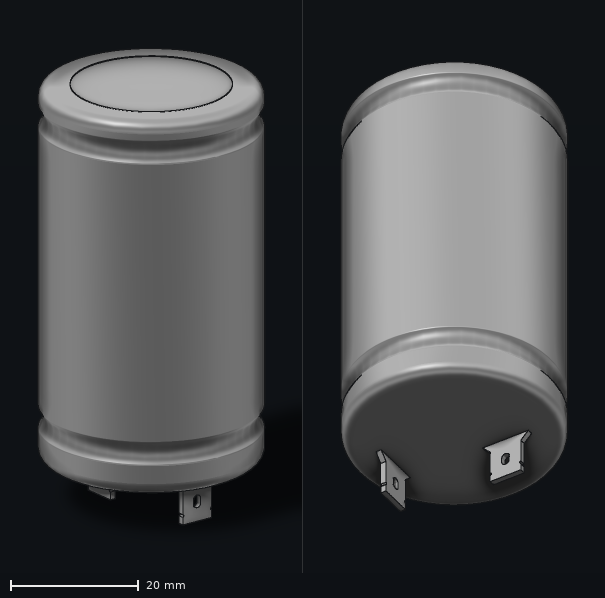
import cadquery as cq

can_diameter = 35.5
can_radius = can_diameter / 2
total_height = 69.45
terminal_drop = 7.2
can_height = total_height - terminal_drop
end_rounding = 2.0

groove_half_height = 1.9
groove_depth = 0.7
groove_lip_radius = 0.4
lower_groove_height = 7.0
upper_groove_drop = 5.1
groove_heights = (lower_groove_height, can_height - upper_groove_drop)

recess_radius = 12.7
recess_depth = 0.15

terminal_width = 5.7
terminal_thickness = 1.0
shoulder_width = 8.5
shoulder_height = 1.4
slot_width = 1.4
slot_length = 2.1
slot_drop = 3.9
notch_drop = 5.7
notch_radius = 0.2

terminal_places = (
    (-7.0, -4.4, 0),
    (11.3, 0, 90),
)


def make_groove_cutter(mid_height):
    """Ring whose round section meets the can wall at the groove height and depth."""
    section_radius = (groove_half_height**2 + groove_depth**2) / (2 * groove_depth)
    ring_radius = can_radius - groove_depth + section_radius
    return cq.Workplane(cq.Solid.makeTorus(ring_radius, section_radius, cq.Vector(0, 0, mid_height)))


def make_can():
    can = cq.Workplane("XY").circle(can_radius).extrude(can_height)
    can = can.faces("<Z or >Z").edges().fillet(end_rounding)

    for mid_height in groove_heights:
        can = can.cut(make_groove_cutter(mid_height))
        lip_reach = groove_half_height + groove_lip_radius
        lips = cq.selectors.BoxSelector(
            (-can_radius, -can_radius, mid_height - lip_reach),
            (can_radius, can_radius, mid_height + lip_reach),
        )
        can = can.edges("%CIRCLE").edges(lips).fillet(groove_lip_radius)

    recess = (
        cq.Workplane("XY", origin=(0, 0, can_height - recess_depth))
        .circle(recess_radius)
        .extrude(recess_depth)
    )
    return can.cut(recess)


def make_terminal(x, y, turn):
    """Flat tab hanging from the can, with sloped shoulders, a slot and two edge notches."""
    half_width = terminal_width / 2
    half_shoulder = shoulder_width / 2
    right_side = [
        (half_shoulder, 0),
        (half_width, -shoulder_height),
        (half_width, -terminal_drop),
    ]
    left_side = [(-across, height) for across, height in reversed(right_side)]
    half_thickness = terminal_thickness / 2
    tab = cq.Workplane("XZ").polyline(right_side + left_side).close().extrude(half_thickness, both=True)

    slot = (
        cq.Workplane("XZ")
        .center(0, -slot_drop)
        .slot2D(slot_length, slot_width, 90)
        .extrude(half_thickness, both=True)
    )
    notches = (
        cq.Workplane("XZ")
        .pushPoints([(-half_width, -notch_drop), (half_width, -notch_drop)])
        .circle(notch_radius)
        .extrude(half_thickness, both=True)
    )
    tab = tab.cut(slot).cut(notches)
    return tab.rotate((0, 0, 0), (0, 0, 1), turn).translate((x, y, 0))


can = make_can()
terminals = [make_terminal(*place) for place in terminal_places]

result = cq.Compound.makeCompound([can.val()] + [terminal.val() for terminal in terminals])